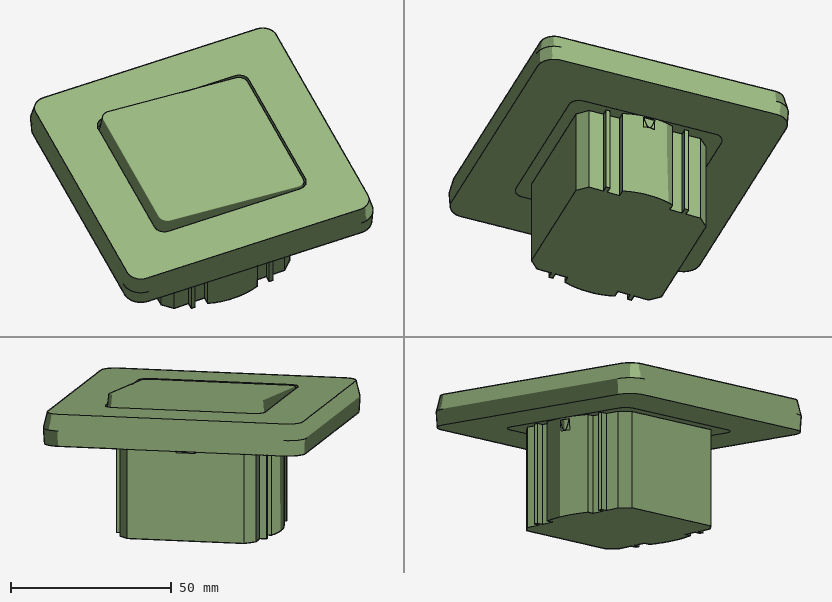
import cadquery as cq
import math


frame_width = 84.0
frame_height = 10.0
parting_z = 4.95
frame_corner_radius = 5.9
top_inset = 1.3
bottom_inset = 0.3
opening_width = 51.1
opening_corner_radius = 3.4

rocker_width = 49.3
rocker_length = 49.05
rocker_corner_radius = 2.85
rocker_draft = 6.0
rocker_edge_fillet = 0.2
rocker_tilt = 4.6
pivot_z = 5.7
rocker_top_above_pivot = 6.1
rocker_blank_height = 10.1
seat_z = 7.6

housing_width = 43.6
housing_chamfer = 3.1
front_depth = 32.0
back_depth = 30.6
bulge_flat_x = 25.6
bulge_flat_width = 3.7
bulge_width = 16.8
rib_x = 24.0
rib_thickness = 1.35
rib_inner_y = 12.5

groove_width = 6.05
groove_height = 0.75
groove_depth = 0.3
groove_center_z = -3.8

claw_top_z = -0.7
claw_tip_z = -4.1
claw_projection = 0.3
claw_cone_radius = 5.0
claw_inner_x = 23.9


def rounded_rectangle(width, length, radius, z):
    """Rectangle outline with rounded corners at height Z, centred on the Z axis."""
    sketch = cq.Sketch().rect(width, length).vertices().fillet(radius)
    return cq.Workplane("XY", origin=(0, 0, z)).placeSketch(sketch)


def make_frame():
    upper_height = frame_height - parting_z
    upper_draft = math.degrees(math.atan(top_inset / upper_height))
    lower_draft = math.degrees(math.atan(bottom_inset / parting_z))
    outline = rounded_rectangle(frame_width, frame_width, frame_corner_radius, parting_z)
    upper = outline.extrude(upper_height, taper=upper_draft)
    lower = outline.extrude(-parting_z, taper=lower_draft)
    opening = rounded_rectangle(opening_width, opening_width, opening_corner_radius, 0).extrude(frame_height)
    return upper.union(lower).cut(opening)


def make_rocker():
    top_z = pivot_z + rocker_top_above_pivot
    blank = rounded_rectangle(rocker_width, rocker_length, rocker_corner_radius, top_z)
    blank = blank.extrude(-rocker_blank_height, taper=-rocker_draft)
    blank = blank.faces(">Z").edges().fillet(rocker_edge_fillet)
    tilted = blank.rotate((0, 0, pivot_z), (1, 0, pivot_z), -rocker_tilt)
    below_seat = cq.Workplane("XY", origin=(0, 0, seat_z)).rect(frame_width, frame_width)
    return tilted.cut(below_seat.extrude(-frame_width))


def make_bulge():
    """Round bulge across both X sides, flattened at its outermost strips."""
    arc_radius = math.hypot(bulge_flat_x, bulge_flat_width / 2)
    disc = cq.Workplane("XY").circle(arc_radius).extrude(-front_depth)
    band = cq.Workplane("XY").rect(2 * bulge_flat_x, bulge_width).extrude(-front_depth)
    return disc.intersect(band)


def make_ribs():
    """Two ribs on each X side, one either side of the bulge."""
    rib_y = rib_inner_y + rib_thickness / 2
    bars = cq.Workplane("XY").pushPoints([(0, -rib_y), (0, rib_y)])
    return bars.rect(2 * rib_x, rib_thickness).extrude(-front_depth)


def below_sloped_bottom():
    """Everything under the housing's bottom, which rises toward +Y."""
    half = housing_width / 2
    profile = [
        (-half, -front_depth),
        (half, -back_depth),
        (half, -front_depth),
    ]
    wedge = cq.Workplane("YZ").polyline(profile).close()
    return wedge.extrude(frame_width / 2, both=True)


def make_groove():
    """Short horizontal V-groove in the -Y wall."""
    wall_y = -housing_width / 2
    profile = [
        (wall_y, groove_center_z + groove_height / 2),
        (wall_y + groove_depth, groove_center_z),
        (wall_y, groove_center_z - groove_height / 2),
    ]
    return cq.Workplane("YZ").polyline(profile).close().extrude(groove_width / 2, both=True)


def make_housing(claws):
    box = cq.Workplane("XY").rect(housing_width, housing_width).extrude(-front_depth)
    box = box.edges("|Z").chamfer(housing_chamfer)
    flange = rounded_rectangle(opening_width, opening_width, opening_corner_radius, 0).extrude(seat_z)
    body = box.union(make_bulge()).union(make_ribs()).cut(below_sloped_bottom())
    body = body.union(flange).cut(make_groove())
    for claw in claws:
        body = body.cut(claw)
    return body


def make_claw(side):
    """Claw on the X side given by the sign; its cone meets the bulge flat at the tip."""
    axis_x = bulge_flat_x + claw_projection - claw_cone_radius
    height = claw_top_z - claw_tip_z
    draft = math.degrees(math.atan(claw_projection / height))
    cone = cq.Workplane("XY", origin=(side * axis_x, 0, claw_top_z))
    cone = cone.circle(claw_cone_radius).extrude(-height, taper=draft)
    reach = bulge_flat_x + claw_projection - claw_inner_x
    block = cq.Workplane("XY", origin=(side * (claw_inner_x + reach / 2), 0, claw_top_z))
    block = block.rect(reach, bulge_flat_width).extrude(-height)
    return cone.intersect(block)


claws = [make_claw(side) for side in (-1, 1)]
frame = make_frame()
rocker = make_rocker()
housing = make_housing(claws)

result = cq.Compound.makeCompound(
    [frame.val(), rocker.val(), housing.val(), *[claw.val() for claw in claws]]
)